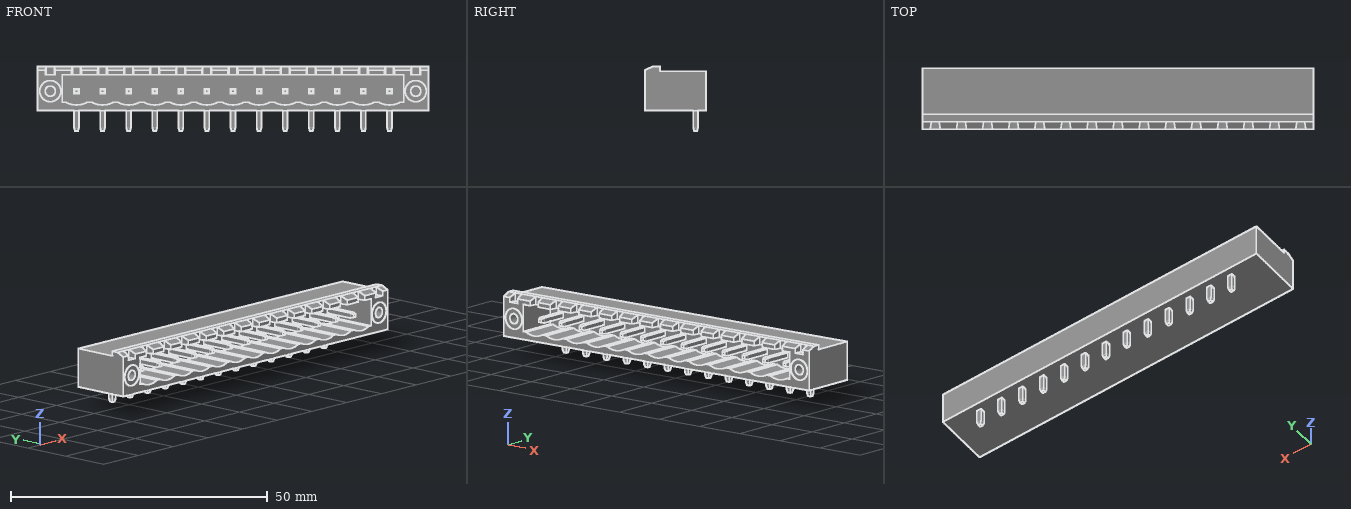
import cadquery as cq

length = 76.2
depth = 12.0
height = 8.6
total_height = 12.6

pin_count = 13
pin_row_span = 60.95
pin_size = 1.0
pin_tip_size = 0.6
pin_tip_length = 0.7
pin_axis_height = 3.8
pin_front_gap = 1.8
leg_back_offset = 2.05
leg_drop = total_height - height

lip_depth = 3.0
lip_step = 0.9
bevel_depth = 1.5
bevel_drop = 0.7

flange_width = 4.9
cavity_depth = 8.5
cavity_floor = 1.6
lip_thickness = 1.6
scallop_chord = 4.05
scallop_sag = 0.495

notch_front_width = 2.0
notch_back_width = 1.5

insert_diameter = 4.1
insert_hole_diameter = 2.0
insert_recess = 0.1
insert_hole_depth = 6.1
insert_edge_offset = 2.5

pin_pitch = pin_row_span / (pin_count - 1)
notch_depth = bevel_depth
cavity_roof = height - lip_thickness
cavity_half_width = length / 2 - flange_width
insert_x = length / 2 - insert_edge_offset
leg_y = depth - leg_back_offset
pin_positions = [(i - (pin_count - 1) / 2) * pin_pitch for i in range(pin_count)]
insert_positions = [-insert_x, insert_x]


def make_housing():
    """Side profile with the raised, bevelled front lip, extruded along X."""
    profile = [
        (0, 0),
        (depth, 0),
        (depth, height - lip_step),
        (lip_depth, height - lip_step),
        (lip_depth, height),
        (bevel_depth, height),
        (0, height - bevel_drop),
    ]
    return cq.Workplane("YZ").polyline(profile).close().extrude(length / 2, both=True)


def make_cavity():
    """Front opening whose floor dips in a shallow arc under every contact."""
    outline = cq.Workplane("XZ").moveTo(-cavity_half_width, cavity_roof)
    outline = outline.lineTo(-cavity_half_width, cavity_floor)
    for x in pin_positions:
        outline = outline.lineTo(x - scallop_chord / 2, cavity_floor)
        outline = outline.threePointArc(
            (x, cavity_floor - scallop_sag),
            (x + scallop_chord / 2, cavity_floor),
        )
    outline = outline.lineTo(cavity_half_width, cavity_floor)
    outline = outline.lineTo(cavity_half_width, cavity_roof).close()
    return outline.extrude(-cavity_depth)


def make_notch(x):
    """Notch in the lip, narrowing from the front face towards the back."""
    outline = [
        (x - notch_front_width / 2, 0),
        (x + notch_front_width / 2, 0),
        (x + notch_back_width / 2, notch_depth),
        (x - notch_back_width / 2, notch_depth),
    ]
    plan = cq.Workplane("XY").workplane(offset=cavity_roof).polyline(outline).close()
    return plan.extrude(height - cavity_roof)


def cylinder_from_front(x, diameter, reach):
    """Cylinder on an insert axis, reaching into the flange from the front face."""
    plane = cq.Workplane("XZ").center(x, pin_axis_height)
    return plane.circle(diameter / 2).extrude(-reach)


def make_tapered_bar(plane, bar_length):
    """Square bar from the plane, ending in a tapered tip; bar_length includes the tip."""
    shaft_length = bar_length - pin_tip_length
    shaft = cq.Workplane(plane).rect(pin_size, pin_size).extrude(shaft_length)
    tip = (
        shaft.faces(cq.selectors.DirectionMinMaxSelector(plane.zDir, True))
        .workplane(centerOption="CenterOfMass")
        .rect(pin_size, pin_size)
        .workplane(offset=pin_tip_length)
        .rect(pin_tip_size, pin_tip_size)
        .loft(combine=False)
    )
    return shaft.union(tip)


def make_contact(x):
    """Right-angle contact: a blade facing forward and a solder leg facing down."""
    elbow = pin_size / 2
    blade_plane = cq.Plane((x, leg_y + elbow, pin_axis_height), (1, 0, 0), (0, -1, 0))
    leg_plane = cq.Plane((x, leg_y, pin_axis_height + elbow), (1, 0, 0), (0, 0, -1))
    blade = make_tapered_bar(blade_plane, leg_y + elbow - pin_front_gap)
    leg = make_tapered_bar(leg_plane, pin_axis_height + elbow + leg_drop)
    return blade.union(leg)


result = make_housing().cut(make_cavity())

for x in pin_positions + insert_positions:
    result = result.cut(make_notch(x))

for x in pin_positions:
    result = result.union(make_contact(x))

for x in insert_positions:
    result = result.cut(cylinder_from_front(x, insert_diameter, insert_recess))
    result = result.cut(cylinder_from_front(x, insert_hole_diameter, insert_hole_depth))